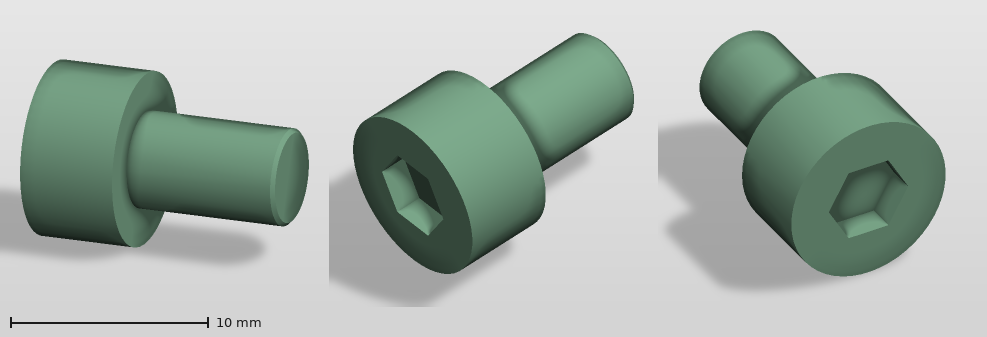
import cadquery as cq
import math

total_length = 13.0
head_length = 5.0
head_diameter = 9.0
shank_diameter = 5.0
tip_chamfer = 0.2
socket_across_flats = 4.0
socket_depth = 1.5

shank_length = total_length - head_length
socket_across_corners = socket_across_flats / math.cos(math.pi / 6)
head_start = -total_length / 2

head_face = cq.Workplane("YZ", origin=(head_start, 0, 0))
head = head_face.circle(head_diameter / 2).extrude(head_length)

shank = (
    cq.Workplane("YZ", origin=(head_start + head_length, 0, 0))
    .circle(shank_diameter / 2)
    .extrude(shank_length)
    .faces(">X")
    .chamfer(tip_chamfer)
)

socket = head_face.polygon(6, socket_across_corners).extrude(socket_depth)

result = head.union(shank).cut(socket)